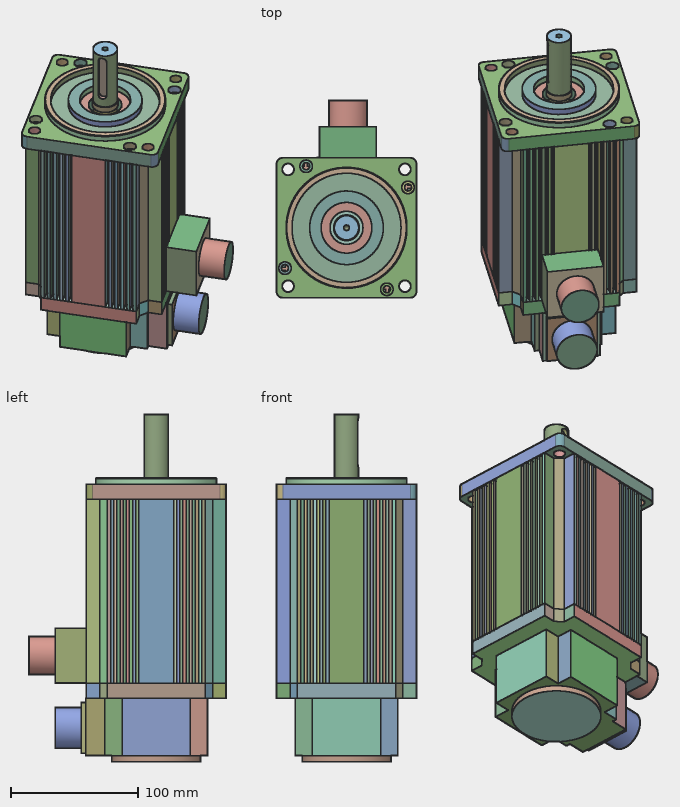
import cadquery as cq
import math

BODY_SIDE = 110.0
TOTAL_HEIGHT = 273.0
OVERALL_DEPTH = 155.0

FOOT_HEIGHT = 5.0
COVER_HEIGHT = 45.0
REAR_PLATE_HEIGHT = 12.0
STATOR_HEIGHT = 144.1
FLANGE_THICKNESS = 12.0
BOSS_HEIGHT = 5.0

COVER_BOTTOM = FOOT_HEIGHT
REAR_PLATE_BOTTOM = COVER_BOTTOM + COVER_HEIGHT
STATOR_BOTTOM = REAR_PLATE_BOTTOM + REAR_PLATE_HEIGHT
FLANGE_BOTTOM = STATOR_BOTTOM + STATOR_HEIGHT
FLANGE_TOP = FLANGE_BOTTOM + FLANGE_THICKNESS
BOSS_TOP = FLANGE_TOP + BOSS_HEIGHT

HALF_SIDE = BODY_SIDE / 2

NOTCH_EDGE = 38.5
NOTCH_CHAMFER = 5.7

GROOVES_PER_GROUP = 5
GROOVE_WIDTH = 2.5
GROOVE_PITCH = 2 * GROOVE_WIDTH
GROOVE_DEPTH = 6.8
FIRST_GROOVE_EDGE = 13.6

FLANGE_CORNER_RADIUS = 5.0
BOSS_RADIUS = 47.5
BOSS_CHAMFER = 0.5
BOSS_RECESS_RADIUS = 42.9
BEARING_RING_RADIUS = 29.0
BEARING_RECESS_RADIUS = 20.0
SHAFT_BORE_RADIUS = 26.0 / 2
MOUNT_HOLE_OFFSET = 46.0
MOUNT_HOLE_RADIUS = 9.0 / 2
SCREW_NEAR_OFFSET = 31.7
SCREW_FAR_OFFSET = 48.3
SCREW_HOLE_RADIUS = 2.7
SCREW_HEAD_RADIUS = 5.0
SCREW_HEAD_DEPTH = FLANGE_THICKNESS / 2

SHAFT_RADIUS = 9.5
COLLAR_RADIUS = 10.0
CENTRE_HOLE_RADIUS = 2.2
CENTRE_HOLE_DEPTH = 5.5
CENTRE_TIP_ANGLE = 60
CENTRE_TIP_DEPTH = CENTRE_HOLE_RADIUS / math.tan(math.radians(CENTRE_TIP_ANGLE / 2))
KEYWAY_WIDTH = 6.5
KEYWAY_DEPTH = 3.5
KEYWAY_LENGTH = 39.9
KEYWAY_TOP_GAP = 2.5

COVER_HALF_LENGTH = 40.5
COVER_ARM_HALF_WIDTH = 26.8
CABLE_ARM_HALF_WIDTH = 23.0
CABLE_ARM_REACH = 55.5
FOOT_RADIUS = 35.0

POWER_BOX_WIDTH = 44.8
POWER_BOX_HEIGHT = 43.0
POWER_BOX_REACH = 79.5
POWER_X = 1.0
POWER_PLUG_RADIUS = 15.0
POWER_PLUG_REACH = OVERALL_DEPTH - HALF_SIDE

ENCODER_PAD_SIDE = 40.0
ENCODER_PAD_REACH = 59.0
ENCODER_Z = 26.8
ENCODER_PLUG_RADIUS = 16.0
ENCODER_PLUG_REACH = 79.5


def cylinder(radius, bottom, top):
    """Upright cylinder on the motor axis."""
    return cq.Workplane("XY").workplane(offset=bottom).circle(radius).extrude(top - bottom)


def block(x_range, y_range, z_range):
    """Box spanning the given (low, high) range along each axis."""
    (x0, x1), (y0, y1), (z0, z1) = x_range, y_range, z_range
    return cq.Workplane("XY").box(x1 - x0, y1 - y0, z1 - z0, centered=False).translate((x0, y0, z0))


def plug(radius, x, z, y_start, y_end):
    """Cylinder lying along +Y."""
    start = cq.Vector(x, y_start, z)
    direction = cq.Vector(0, 1, 0)
    return cq.Workplane(cq.Solid.makeCylinder(radius, y_end - y_start, start, direction))


def quarter_turns(shape):
    """The shape at all four quarter turns about the motor axis."""
    return [shape.rotate((0, 0, 0), (0, 0, 1), 90 * turn) for turn in range(4)]


def notched_column(bottom, height):
    """Square column with a notch, chamfered inside, at each corner."""
    inner = NOTCH_EDGE + NOTCH_CHAMFER
    column = cq.Workplane("XY").workplane(offset=bottom).rect(BODY_SIDE, BODY_SIDE).extrude(height)
    notch = (
        cq.Workplane("XY")
        .workplane(offset=bottom)
        .polyline([
            (HALF_SIDE, NOTCH_EDGE),
            (inner, NOTCH_EDGE),
            (NOTCH_EDGE, inner),
            (NOTCH_EDGE, HALF_SIDE),
            (HALF_SIDE, HALF_SIDE),
        ])
        .close()
        .extrude(height)
    )
    for corner in quarter_turns(notch):
        column = column.cut(corner)
    return column


def make_shaft():
    """Output shaft with a collar at its base, a keyway and a centre hole."""
    shaft = cylinder(SHAFT_RADIUS, FLANGE_TOP, TOTAL_HEIGHT)
    shaft = shaft.union(cylinder(COLLAR_RADIUS, FLANGE_TOP, BOSS_TOP))

    keyway_middle = TOTAL_HEIGHT - KEYWAY_TOP_GAP - KEYWAY_LENGTH / 2
    keyway = (
        cq.Workplane("YZ")
        .workplane(offset=SHAFT_RADIUS - KEYWAY_DEPTH)
        .center(0, keyway_middle)
        .slot2D(KEYWAY_LENGTH, KEYWAY_WIDTH, angle=90)
        .extrude(KEYWAY_DEPTH)
    )

    straight_bottom = TOTAL_HEIGHT - CENTRE_HOLE_DEPTH
    tip = cq.Vector(0, 0, straight_bottom - CENTRE_TIP_DEPTH)
    centre_hole = cylinder(CENTRE_HOLE_RADIUS, straight_bottom, TOTAL_HEIGHT)
    centre_tip = cq.Solid.makeCone(0, CENTRE_HOLE_RADIUS, CENTRE_TIP_DEPTH, tip)
    centre_hole = centre_hole.union(cq.Workplane(centre_tip))
    return shaft.cut(keyway).cut(centre_hole)


def make_flange():
    """Mounting flange with its stepped centring boss and two sets of holes."""
    flange = (
        cq.Workplane("XY")
        .workplane(offset=FLANGE_BOTTOM)
        .rect(BODY_SIDE, BODY_SIDE)
        .extrude(FLANGE_THICKNESS)
        .edges("|Z")
        .fillet(FLANGE_CORNER_RADIUS)
    )

    rim = cylinder(BOSS_RADIUS, FLANGE_TOP, BOSS_TOP).faces(">Z").edges().chamfer(BOSS_CHAMFER)
    rim = rim.cut(cylinder(BOSS_RECESS_RADIUS, FLANGE_TOP, BOSS_TOP))
    bearing_ring = cylinder(BEARING_RING_RADIUS, FLANGE_TOP, BOSS_TOP)
    bearing_ring = bearing_ring.cut(cylinder(BEARING_RECESS_RADIUS, FLANGE_TOP, BOSS_TOP))
    flange = flange.union(rim).union(bearing_ring)
    flange = flange.cut(cylinder(SHAFT_BORE_RADIUS, FLANGE_BOTTOM, FLANGE_TOP))

    mount_hole = cylinder(MOUNT_HOLE_RADIUS, FLANGE_BOTTOM, FLANGE_TOP)
    mount_hole = mount_hole.translate((MOUNT_HOLE_OFFSET, MOUNT_HOLE_OFFSET, 0))
    screw_hole = cylinder(SCREW_HOLE_RADIUS, FLANGE_BOTTOM, FLANGE_TOP)
    screw_hole = screw_hole.union(cylinder(SCREW_HEAD_RADIUS, FLANGE_TOP - SCREW_HEAD_DEPTH, FLANGE_TOP))
    screw_hole = screw_hole.translate((SCREW_FAR_OFFSET, SCREW_NEAR_OFFSET, 0))
    for hole in quarter_turns(mount_hole) + quarter_turns(screw_hole):
        flange = flange.cut(hole)
    return flange


def make_stator():
    """Finned stator housing with the shaft bore through it."""
    stator = notched_column(STATOR_BOTTOM, STATOR_HEIGHT)
    for index in range(GROOVES_PER_GROUP):
        near_wall = FIRST_GROOVE_EDGE + index * GROOVE_PITCH
        for y_start in (near_wall, -near_wall - GROOVE_WIDTH):
            groove = block(
                (HALF_SIDE - GROOVE_DEPTH, HALF_SIDE),
                (y_start, y_start + GROOVE_WIDTH),
                (STATOR_BOTTOM, FLANGE_BOTTOM),
            )
            for side_groove in quarter_turns(groove):
                stator = stator.cut(side_groove)
    return stator.cut(cylinder(SHAFT_BORE_RADIUS, STATOR_BOTTOM, FLANGE_BOTTOM))


def make_rear_plate():
    """Plate closing the stator, with the same notched outline."""
    return notched_column(REAR_PLATE_BOTTOM, REAR_PLATE_HEIGHT)


def make_encoder_cover():
    """Cross-shaped cover with a longer cable arm towards +Y and a round foot."""
    reach = (-COVER_HALF_LENGTH, COVER_HALF_LENGTH)
    arm = (-COVER_ARM_HALF_WIDTH, COVER_ARM_HALF_WIDTH)
    heights = (COVER_BOTTOM, REAR_PLATE_BOTTOM)
    cable_arm = block((-CABLE_ARM_HALF_WIDTH, CABLE_ARM_HALF_WIDTH), (0, CABLE_ARM_REACH), heights)
    cover = block(reach, arm, heights).union(block(arm, reach, heights)).union(cable_arm)
    return cover.union(cylinder(FOOT_RADIUS, 0, COVER_BOTTOM))


def make_power_connector():
    """Connector box on the +Y side of the stator with a round plug."""
    half_width = POWER_BOX_WIDTH / 2
    box = block(
        (POWER_X - half_width, POWER_X + half_width),
        (HALF_SIDE, POWER_BOX_REACH),
        (STATOR_BOTTOM, STATOR_BOTTOM + POWER_BOX_HEIGHT),
    )
    plug_z = STATOR_BOTTOM + POWER_BOX_HEIGHT / 2
    return box.union(plug(POWER_PLUG_RADIUS, POWER_X, plug_z, POWER_BOX_REACH, POWER_PLUG_REACH))


def make_encoder_connector():
    """Square pad on the end of the cable arm with a round plug."""
    half_side = ENCODER_PAD_SIDE / 2
    pad = block(
        (-half_side, half_side),
        (CABLE_ARM_REACH, ENCODER_PAD_REACH),
        (ENCODER_Z - half_side, ENCODER_Z + half_side),
    )
    return pad.union(plug(ENCODER_PLUG_RADIUS, 0, ENCODER_Z, ENCODER_PAD_REACH, ENCODER_PLUG_REACH))


shaft = make_shaft()
flange = make_flange()
stator = make_stator()
rear_plate = make_rear_plate()
encoder_cover = make_encoder_cover()
power_connector = make_power_connector()
encoder_connector = make_encoder_connector()

result = cq.Compound.makeCompound([
    shaft.val(),
    flange.val(),
    stator.val(),
    rear_plate.val(),
    encoder_cover.val(),
    power_connector.val(),
    encoder_connector.val(),
])